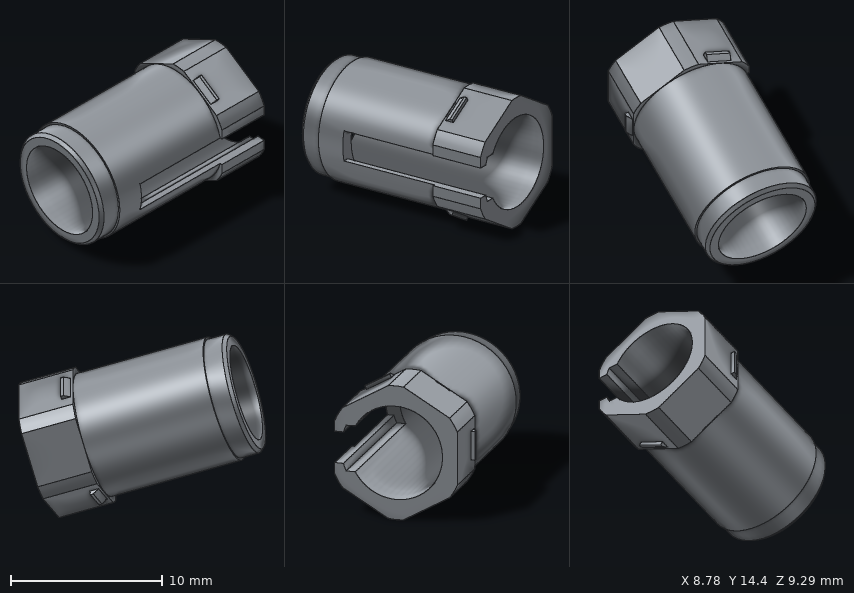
import cadquery as cq

length = 14.45
bore_radius = 3.24
nose_radius = 4.09
nose_length = 1.53
nose_chamfer_radial = 0.22
nose_chamfer_axial = 0.25
body_radius = 4.23

head_length = 3.8
head_start = length - head_length
flat_distance = 4.26
corner_radius = 4.645

tab_angles = (60, 180, 300)
tab_width = 2.0
tab_height = 0.26
tab_offset = 0.16
tab_ramp_length = 0.42
tab_land_length = 0.2
tab_root = 0.15

slot_width = 2.17
slot_start = 3.47
pocket_width = 3.18
pocket_radius = 3.8


def make_body():
    """Stepped, chamfered cylinder turned about the Y axis."""
    profile = [
        (0, 0),
        (nose_radius - nose_chamfer_radial, 0),
        (nose_radius, nose_chamfer_axial),
        (nose_radius, nose_length),
        (body_radius, nose_length),
        (body_radius, length),
        (0, length),
    ]
    return cq.Workplane("XY").polyline(profile).close().revolve(360, (0, 0), (0, 1))


def along_y(start):
    """Workplane across the axis at Y = start, extruding toward +Y."""
    return cq.Workplane("XZ", origin=(0, start, 0))


def make_head():
    """Hexagon with flats facing +X and -X, its corners trimmed by a cylinder."""
    hexagon = (
        along_y(head_start)
        .polygon(6, 2 * flat_distance, circumscribed=True)
        .extrude(-head_length)
    )
    corner_limit = along_y(head_start).circle(corner_radius).extrude(-head_length)
    return hexagon.intersect(corner_limit)


def make_tab(angle):
    """Tab with a ramp facing the nose, turned about Y onto its flat."""
    ramp_start = head_start + tab_offset
    land_start = ramp_start + tab_ramp_length
    land_end = land_start + tab_land_length
    root = flat_distance - tab_root
    tip = flat_distance + tab_height
    profile = [
        (root, ramp_start),
        (flat_distance, ramp_start),
        (tip, land_start),
        (tip, land_end),
        (root, land_end),
    ]
    tab = cq.Workplane("XY").polyline(profile).close().extrude(tab_width / 2, both=True)
    return tab.rotate((0, 0, 0), (0, 1, 0), angle)


def make_slot_block(width):
    """Block from the axis out past the +X wall, from the slot start to the head end."""
    block = cq.Workplane("XY", origin=(0, slot_start, 0))
    return block.box(corner_radius, length - slot_start, width, centered=(False, False, True))


result = make_body().union(make_head())
for tab_angle in tab_angles:
    result = result.union(make_tab(tab_angle))

bore = along_y(0).circle(bore_radius).extrude(-length)
slot = make_slot_block(slot_width)
pocket_limit = along_y(0).circle(pocket_radius).extrude(-length)
pocket = make_slot_block(pocket_width).intersect(pocket_limit)
result = result.cut(bore).cut(slot).cut(pocket)